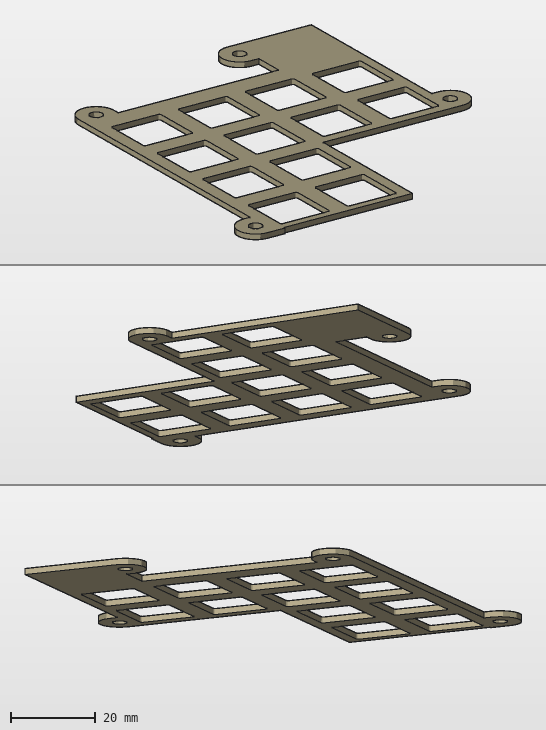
import cadquery as cq

LENGTH = 98.3
WIDTH = 91.5
THICKNESS = 1.5

EAR_RADIUS = 5.0
SCREW_HOLE_DIAMETER = 3.4
LEFT_EAR_Y = 60.7
FOOT_EAR_X = 16.5
TOP_EAR_X = 55.5
CORNER_EAR_SHOULDER_Y = 9.9

BOTTOM_EDGE_Y = 6.9
STEP_EDGE_Y = 46.7
TAB_BOTTOM_Y = 62.7
TOP_EDGE_Y = 84.6
GRID_LEFT_X = 18.4
RIGHT_EDGE_X = 97.9

KEY_PITCH = 19.1
KEY_SIZE = 14.0
KEY_CORNER_RADIUS = 0.5
FIRST_KEY_LEFT_X = 24.6
FIRST_KEY_BOTTOM_Y = 10.6
KEYS_PER_ROW = [4, 4, 2, 2]

left_ear = (EAR_RADIUS, LEFT_EAR_Y)
foot_ear = (FOOT_EAR_X, BOTTOM_EDGE_Y + EAR_RADIUS)
top_ear = (TOP_EAR_X, WIDTH - EAR_RADIUS)
corner_ear = (LENGTH - EAR_RADIUS, EAR_RADIUS)
screw_centres = [left_ear, foot_ear, top_ear, corner_ear]


def offset(point, dx, dy):
    """Point on an ear, given in ear radii from its screw centre."""
    return (point[0] + dx * EAR_RADIUS, point[1] + dy * EAR_RADIUS)


def plate():
    """Stepped plate with four rounded ears, traced counterclockwise from the foot ear."""
    upper_right_x = TOP_EAR_X + EAR_RADIUS
    outline = (
        cq.Workplane("XY")
        .moveTo(*offset(foot_ear, 0, -1))
        .lineTo(corner_ear[0] - EAR_RADIUS, BOTTOM_EDGE_Y)
        .lineTo(*offset(corner_ear, -1, 0))
        .threePointArc(offset(corner_ear, 0, -1), offset(corner_ear, 1, 0))
        .lineTo(LENGTH, CORNER_EAR_SHOULDER_Y)
        .lineTo(RIGHT_EDGE_X, CORNER_EAR_SHOULDER_Y)
        .lineTo(RIGHT_EDGE_X, STEP_EDGE_Y)
        .lineTo(upper_right_x, STEP_EDGE_Y)
        .lineTo(*offset(top_ear, 1, 0))
        .threePointArc(offset(top_ear, 0, 1), offset(top_ear, -1, 0))
        .lineTo(top_ear[0] - EAR_RADIUS, TOP_EDGE_Y)
        .lineTo(0, TOP_EDGE_Y)
        .lineTo(*offset(left_ear, -1, 0))
        .threePointArc(offset(left_ear, 0, -1), offset(left_ear, 1, 0))
        .lineTo(left_ear[0] + EAR_RADIUS, TAB_BOTTOM_Y)
        .lineTo(GRID_LEFT_X, TAB_BOTTOM_Y)
        .lineTo(GRID_LEFT_X, foot_ear[1] + EAR_RADIUS)
        .lineTo(*offset(foot_ear, 0, 1))
        .threePointArc(offset(foot_ear, -1, 0), offset(foot_ear, 0, -1))
        .close()
    )
    return outline.extrude(THICKNESS)


def key_cutouts():
    """Square openings with slightly rounded corners, one for each key."""
    centres = []
    for row, key_count in enumerate(KEYS_PER_ROW):
        for column in range(key_count):
            x = FIRST_KEY_LEFT_X + KEY_SIZE / 2 + column * KEY_PITCH
            y = FIRST_KEY_BOTTOM_Y + KEY_SIZE / 2 + row * KEY_PITCH
            centres.append((x, y))
    squares = cq.Workplane("XY").pushPoints(centres).rect(KEY_SIZE, KEY_SIZE)
    return squares.extrude(THICKNESS).edges("|Z").fillet(KEY_CORNER_RADIUS)


def screw_holes():
    """Through holes at the ear centres."""
    circles = cq.Workplane("XY").pushPoints(screw_centres).circle(SCREW_HOLE_DIAMETER / 2)
    return circles.extrude(THICKNESS)


result = plate().cut(key_cutouts()).cut(screw_holes())